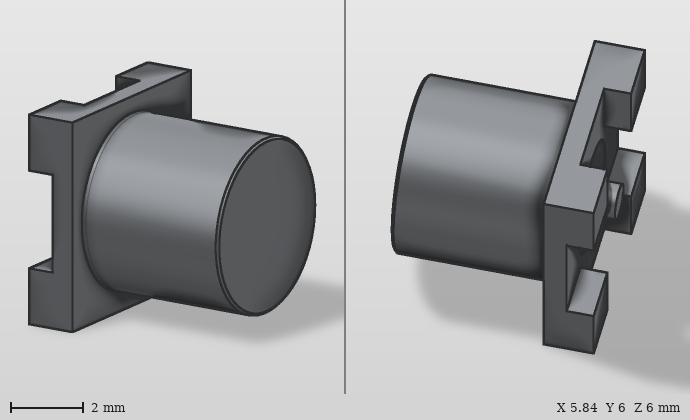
import cadquery as cq

plate_side = 6.0
total_length = 5.84

foot_height = 0.76
foot_side = 1.6
plate_back = 1.41

barrel_diameter = 5.0
collar_diameter = 5.05
collar_length = 0.12
rim_chamfer = 0.07

pin_diameter = 1.0

recess_diameter = 3.205
recess_depth = 0.05


def make_plate():
    thickness = plate_back - foot_height
    return (
        cq.Workplane("YZ", origin=(foot_height, 0, 0))
        .rect(plate_side, plate_side)
        .extrude(thickness)
    )


def make_feet():
    foot_spacing = plate_side - foot_side
    return (
        cq.Workplane("YZ")
        .rect(foot_spacing, foot_spacing, forConstruction=True)
        .vertices()
        .rect(foot_side, foot_side)
        .extrude(plate_back)
    )


def make_barrel():
    """Barrel with a tapered collar at the plate and a chamfered free rim."""
    barrel_radius = barrel_diameter / 2
    collar_radius = collar_diameter / 2
    return (
        cq.Workplane("XY")
        .moveTo(foot_height, 0)
        .lineTo(foot_height, collar_radius)
        .lineTo(plate_back, collar_radius)
        .lineTo(plate_back + collar_length, barrel_radius)
        .lineTo(total_length - rim_chamfer, barrel_radius)
        .lineTo(total_length, barrel_radius - rim_chamfer)
        .lineTo(total_length, 0)
        .close()
        .revolve(360, (0, 0, 0), (1, 0, 0))
    )


def make_pin():
    return cq.Workplane("YZ").circle(pin_diameter / 2).extrude(plate_back)


def make_recess():
    return (
        cq.Workplane("YZ", origin=(foot_height, 0, 0))
        .circle(recess_diameter / 2)
        .extrude(recess_depth)
    )


body = make_plate().union(make_feet()).union(make_barrel())
result = body.cut(make_recess()).union(make_pin())